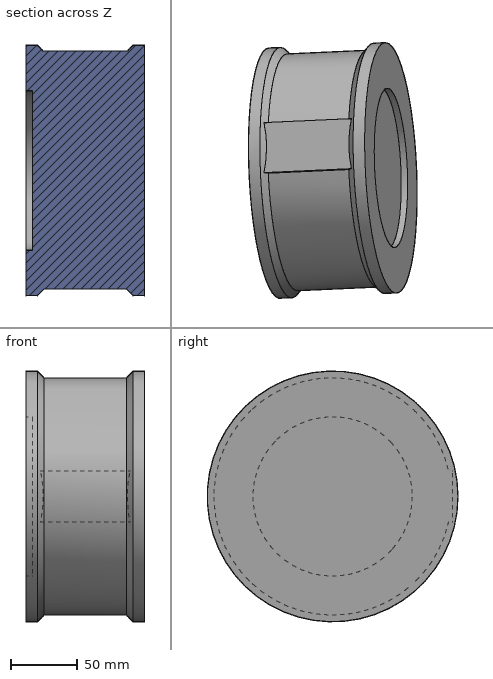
import cadquery as cq

width = 89.5
flange_diameter = 189.0
groove_depth = 5.1
flange_width = 8.9
taper_width = 5.0
recess_diameter = 120.0
recess_depth = 5.0
pad_height = 38.5
pad_face_y = 90.2

half_width = width / 2
flange_radius = flange_diameter / 2
groove_radius = flange_radius - groove_depth
flange_inner_x = half_width - flange_width
groove_end_x = flange_inner_x - taper_width


def grooved_body():
    """Revolve the half section: two flanges tapering down to a plain cylindrical groove."""
    half_section = (
        cq.Workplane("XY")
        .moveTo(-half_width, 0)
        .lineTo(-half_width, flange_radius)
        .lineTo(-flange_inner_x, flange_radius)
        .lineTo(-groove_end_x, groove_radius)
        .lineTo(groove_end_x, groove_radius)
        .lineTo(flange_inner_x, flange_radius)
        .lineTo(half_width, flange_radius)
        .lineTo(half_width, 0)
        .close()
    )
    return half_section.revolve(360, (0, 0, 0), (1, 0, 0))


def face_recess():
    """Shallow round recess cut into the -X end face."""
    return (
        cq.Workplane("YZ")
        .workplane(offset=-half_width)
        .circle(recess_diameter / 2)
        .extrude(recess_depth)
    )


def groove_pad():
    """Flat-faced block on the +Y side, filling the groove from flange to flange."""
    pad_length = 2 * flange_inner_x
    return cq.Workplane("XY").box(pad_length, pad_face_y, pad_height, centered=(True, False, True))


result = grooved_body().union(groove_pad()).cut(face_recess())